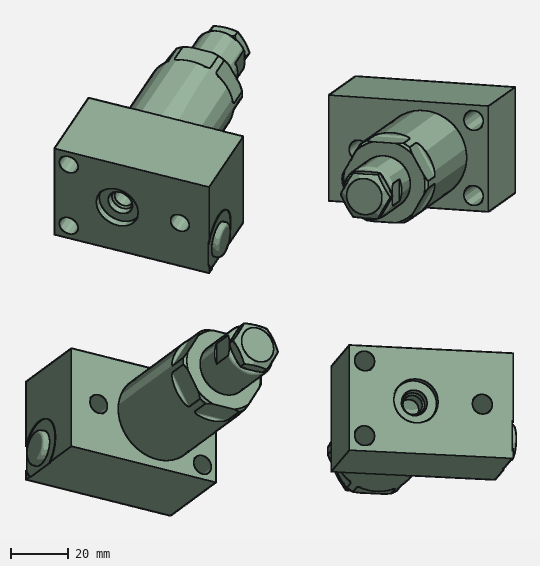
import cadquery as cq
import math

BLOCK_WIDTH = 58.7
BLOCK_DEPTH = 31.7
BLOCK_HEIGHT = 38.1

MOUNT_DIAMETER = 7.1
LEFT_MOUNT_X = 5.5
RIGHT_MOUNT_X = 47.7
LEFT_MOUNT_Z = 13.5

AXIS_X = 23.9
OVERALL_LENGTH = 101.6

BODY_RADIUS = 15.8
BODY_END_Y = 77.9
BODY_CHAMFER = 0.9
BODY_ACROSS_FLATS = 28.7
BODY_FLAT_START_Y = 68.7
BODY_FLAT_FILLET = 0.9

PLUNGER_RADIUS = 9.5
PLUNGER_END_Y = 96.9
PLUNGER_FILLET = 1.4
PLUNGER_ACROSS_FLATS = 17.4
PLUNGER_FLAT_START_Y = 88.0

NUT_ACROSS_FLATS = 15.8
NUT_TIP_RADIUS = 6.5
NUT_TIP_CHAMFER_LENGTH = 1.4
NUT_BASE_CHAMFER_LENGTH = 0.7
NUT_BASE_RADIUS = 8.4

PORT_RECESS_RADIUS = 7.9
PORT_RECESS_DEPTH = 2.8
PORT_MOUTH_RADIUS = 4.6
PORT_TAPER_END_RADIUS = 4.2
PORT_TAPER_LENGTH = 2.4
PORT_STEP_LENGTH = 0.7
PORT_DRILL_RADIUS = 3.5
PORT_DRILL_LENGTH = 6.1
DRILL_POINT_ANGLE = 118.0

PLUG_Y = 9.5
PLUG_Z = -10.8
PLUG_RADIUS = 6.4
PLUG_PROTRUSION = 2.0
PLUG_FILLET = 1.4
SPOTFACE_RADIUS = 10.7
SPOTFACE_DEPTH = 0.3


def along_y(start_y, z=0.0, x=AXIS_X):
    """Workplane at start_y, facing +Y."""
    plane = cq.Plane(origin=(x, start_y, z), xDir=(1, 0, 0), normal=(0, 1, 0))
    return cq.Workplane(plane)


def revolve_on_axis(profile):
    """Solid of revolution about the cartridge axis from (radius, y) points."""
    turned = cq.Workplane("XY").polyline(profile).close()
    return turned.revolve(360, (0, 0, 0), (0, 1, 0)).translate((AXIS_X, 0, 0))


def make_block():
    block = cq.Workplane("XY").box(BLOCK_WIDTH, BLOCK_DEPTH, BLOCK_HEIGHT, centered=(False, False, True))
    mounts = [
        (LEFT_MOUNT_X, LEFT_MOUNT_Z),
        (LEFT_MOUNT_X, -LEFT_MOUNT_Z),
        (RIGHT_MOUNT_X, 0.0),
    ]
    for x, z in mounts:
        block = block.cut(along_y(0, z, x).circle(MOUNT_DIAMETER / 2).extrude(BLOCK_DEPTH))
    return block


def make_body():
    """Round body whose six far-end flats run out in small concave fillets."""
    length = BODY_END_Y - BLOCK_DEPTH
    body = along_y(BLOCK_DEPTH).circle(BODY_RADIUS).extrude(length)
    body = body.faces(">Y").chamfer(BODY_CHAMFER)

    flat_length = BODY_END_Y - BODY_FLAT_START_Y
    flat_cutter = (
        cq.Workplane("XY")
        .box(2 * BODY_RADIUS, flat_length, BODY_RADIUS, centered=(True, False, False))
        .edges("<Y and <Z")
        .fillet(BODY_FLAT_FILLET)
        .translate((AXIS_X, BODY_FLAT_START_Y, BODY_ACROSS_FLATS / 2))
    )
    for side in range(6):
        body = body.cut(flat_cutter.rotate((AXIS_X, 0, 0), (AXIS_X, 1, 0), 60 * side))
    return body


def make_plunger():
    plunger = along_y(BODY_END_Y).circle(PLUNGER_RADIUS).extrude(PLUNGER_END_Y - BODY_END_Y)
    plunger = plunger.faces(">Y").edges().fillet(PLUNGER_FILLET)
    flat_length = PLUNGER_END_Y - PLUNGER_FLAT_START_Y
    flat_offset = (PLUNGER_ACROSS_FLATS + PLUNGER_RADIUS) / 2
    for side in (-1, 1):
        cutter = along_y(PLUNGER_FLAT_START_Y, x=AXIS_X + side * flat_offset)
        plunger = plunger.cut(cutter.rect(PLUNGER_RADIUS, 2 * PLUNGER_RADIUS).extrude(flat_length))
    return plunger


def make_nut():
    """Hexagon trimmed by a chamfered round envelope."""
    corner_radius = NUT_ACROSS_FLATS / math.sqrt(3)
    hexagon = along_y(PLUNGER_END_Y).polygon(6, 2 * corner_radius).extrude(OVERALL_LENGTH - PLUNGER_END_Y)
    envelope = revolve_on_axis([
        (0, PLUNGER_END_Y),
        (NUT_BASE_RADIUS, PLUNGER_END_Y),
        (corner_radius, PLUNGER_END_Y + NUT_BASE_CHAMFER_LENGTH),
        (corner_radius, OVERALL_LENGTH - NUT_TIP_CHAMFER_LENGTH),
        (NUT_TIP_RADIUS, OVERALL_LENGTH),
        (0, OVERALL_LENGTH),
    ])
    return hexagon.intersect(envelope)


def make_port():
    """Material removed for the front port."""
    taper_end_y = PORT_RECESS_DEPTH + PORT_TAPER_LENGTH
    step_end_y = taper_end_y + PORT_STEP_LENGTH
    drill_end_y = step_end_y + PORT_DRILL_LENGTH
    point_length = PORT_DRILL_RADIUS / math.tan(math.radians(DRILL_POINT_ANGLE / 2))
    return revolve_on_axis([
        (0, 0),
        (PORT_RECESS_RADIUS, 0),
        (PORT_RECESS_RADIUS, PORT_RECESS_DEPTH),
        (PORT_MOUTH_RADIUS, PORT_RECESS_DEPTH),
        (PORT_TAPER_END_RADIUS, taper_end_y),
        (PORT_DRILL_RADIUS, step_end_y),
        (PORT_DRILL_RADIUS, drill_end_y),
        (0, drill_end_y + point_length),
    ])


def make_side_disc(radius, thickness):
    """Disc on the plug axis, starting at the spotface floor."""
    floor_x = BLOCK_WIDTH - SPOTFACE_DEPTH
    return cq.Workplane("YZ", origin=(floor_x, PLUG_Y, PLUG_Z)).circle(radius).extrude(thickness)


spotface = make_side_disc(SPOTFACE_RADIUS, SPOTFACE_DEPTH)
plug = make_side_disc(PLUG_RADIUS, SPOTFACE_DEPTH + PLUG_PROTRUSION).faces(">X").edges().fillet(PLUG_FILLET)

result = (
    make_block()
    .cut(make_port())
    .cut(spotface)
    .union(plug)
    .union(make_body())
    .union(make_plunger())
    .union(make_nut())
)